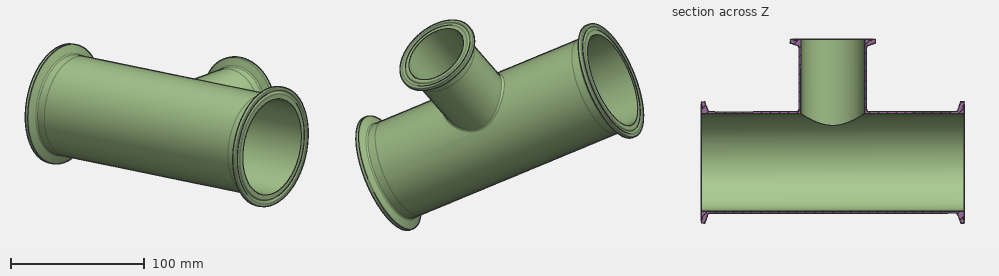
import cadquery as cq
import math

run_length = 196.85
run_outer_dia = 76.2
run_bore_dia = 72.9
run_flange_dia = 90.91
branch_outer_dia = 50.8
branch_bore_dia = 47.5
branch_flange_dia = 63.91
branch_reach = 92.075
weld_blend_radius = 1.5

rim_thickness = 2.85
rim_corner_radius = 0.4
cone_angle = 20.0
neck_radius = 1.2
ferrule_length = 12.7

groove_inset = 3.75
groove_bottom_radius = 1.2
groove_lip_radius = 0.7
groove_flank_angle = math.radians(60.0)


def gasket_groove(middle_radius):
    """Ring that cuts the gasket groove into an end face lying on Z = 0."""
    lip_and_bottom = groove_bottom_radius + groove_lip_radius
    half_width = lip_and_bottom * math.sin(groove_flank_angle)
    depth = lip_and_bottom * (1 - math.cos(groove_flank_angle))
    half_angle = groove_flank_angle / 2

    def lip_point(side, angle):
        """Point on a lip, where the groove wall slopes at the given angle."""
        offset = half_width - groove_lip_radius * math.sin(angle)
        return (middle_radius + side * offset, groove_lip_radius * (1 - math.cos(angle)))

    section = (
        cq.Workplane("XZ")
        .moveTo(*lip_point(-1, 0))
        .threePointArc(lip_point(-1, half_angle), lip_point(-1, groove_flank_angle))
        .threePointArc((middle_radius, depth), lip_point(1, groove_flank_angle))
        .threePointArc(lip_point(1, half_angle), lip_point(1, 0))
        .close()
    )
    return section.revolve(360, (0, 0, 0), (0, 1, 0))


def ferrule(tube_dia, flange_dia):
    """Solid clamp ferrule with its end face on Z = 0 and its tube side toward +Z."""
    tube_radius = tube_dia / 2
    flange_radius = flange_dia / 2
    cone_height = (flange_radius - tube_radius) * math.tan(math.radians(cone_angle))
    cone_end = rim_thickness + cone_height
    outline = [
        (0, 0),
        (flange_radius, 0),
        (flange_radius, rim_thickness),
        (tube_radius, cone_end),
        (tube_radius, ferrule_length),
        (0, ferrule_length),
    ]
    body = cq.Workplane("XZ").polyline(outline).close().revolve(360, (0, 0, 0), (0, 1, 0))
    largest_circles = cq.selectors.RadiusNthSelector(-1)
    body = body.edges("%CIRCLE").edges(largest_circles).fillet(rim_corner_radius)
    neck_circle = body.faces("%CONE").edges("%CIRCLE").edges(">Z")
    body = neck_circle.fillet(neck_radius)
    return body.cut(gasket_groove(flange_radius - groove_inset))


def run_end(side):
    """Ferrule at the -X (side = -1) or +X (side = 1) end of the run."""
    end = ferrule(run_outer_dia, run_flange_dia).rotate((0, 0, 0), (0, 1, 0), -side * 90)
    return end.translate((side * run_length / 2, 0, 0))


def branch_end():
    """Ferrule at the +Y end of the branch."""
    end = ferrule(branch_outer_dia, branch_flange_dia).rotate((0, 0, 0), (1, 0, 0), 90)
    return end.translate((0, branch_reach, 0))


def run_cylinder(diameter, length):
    """Solid cylinder along X, centred on the origin.

    The half turn puts the cylinder's own seam line at -Y, clear of the branch.
    """
    cylinder = cq.Workplane("YZ").workplane(offset=-length / 2).circle(diameter / 2).extrude(length)
    return cylinder.rotate((0, 0, 0), (1, 0, 0), 180)


def branch_cylinder(diameter, reach):
    """Solid cylinder from the run axis out along +Y."""
    return cq.Workplane("XZ").circle(diameter / 2).extrude(-reach)


def blended_tubes():
    """Solid run and branch tubes between the ferrules, with the seam between them rounded."""
    run = run_cylinder(run_outer_dia, run_length - 2 * ferrule_length)
    branch = branch_cylinder(branch_outer_dia, branch_reach - ferrule_length)
    seam_zone = cq.selectors.BoxSelector(
        (-branch_outer_dia, run_outer_dia / 4, -branch_outer_dia),
        (branch_outer_dia, run_outer_dia / 2, branch_outer_dia),
    )
    return run.union(branch).edges(seam_zone).fillet(weld_blend_radius)


outside = blended_tubes().union(run_end(-1)).union(run_end(1)).union(branch_end())
run_bored = outside.cut(run_cylinder(run_bore_dia, run_length))
result = run_bored.cut(branch_cylinder(branch_bore_dia, branch_reach))